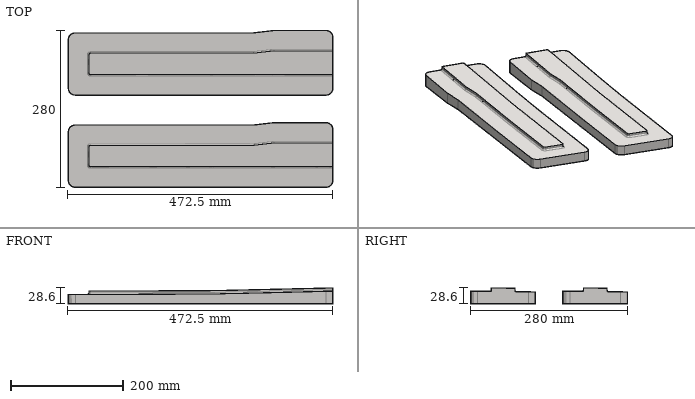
import cadquery as cq

LENGTH = 472.5
OVERALL_WIDTH = 280.0
PITCH = 164.5
PLATE_COUNT = 2
PLATE_WIDTH = OVERALL_WIDTH - (PLATE_COUNT - 1) * PITCH
FLARE = 4.3
FLARE_START = 331.0
FLARE_END = 367.0
CORNER_RADIUS = 12.8

BEND_X = 261.5
START_THICKNESS = 17.0
NEAR_BEND_THICKNESS = 18.0
NEAR_END_THICKNESS = 23.0
FAR_BEND_THICKNESS = 17.5
FAR_END_THICKNESS = 21.7
START_SLOPE = 0.004
END_SLOPE = 0.025

PAD_HEIGHT = 6.0
PAD_START = 37.0
PAD_NEAR_EDGE = 37.0
PAD_FAR_EDGE = 75.0
PAD_CORNER_RADIUS = 3.5
PAD_BASE_FILLET = 2.6


def flared_prism(start_x, near_y, far_y, corner_radius, corners):
    """Tall upright prism whose far edge steps outwards by the flare."""
    outline = [
        (start_x, near_y),
        (LENGTH, near_y),
        (LENGTH, far_y + FLARE),
        (FLARE_END, far_y + FLARE),
        (FLARE_START, far_y),
        (start_x, far_y),
    ]
    tall = 2 * NEAR_END_THICKNESS
    return cq.Workplane("XY").polyline(outline).close().extrude(tall).edges(corners).fillet(corner_radius)


def side_profile(y, bend_thickness, end_thickness, lift):
    """Closed side section at one Y, topped by a smooth rising curve."""
    top = [(0, START_THICKNESS + lift), (BEND_X, bend_thickness + lift), (LENGTH, end_thickness + lift)]
    return (
        cq.Workplane("XZ", origin=(0, y, 0))
        .lineTo(*top[0])
        .spline(top[1:], tangents=[(1, START_SLOPE), (1, END_SLOPE)], includeCurrent=True)
        .lineTo(LENGTH, 0)
        .close()
        .val()
    )


def rising_block(lift):
    """Block under the rising, slightly twisted top surface raised by lift."""
    near = side_profile(0, NEAR_BEND_THICKNESS, NEAR_END_THICKNESS, lift)
    far = side_profile(PLATE_WIDTH, FAR_BEND_THICKNESS, FAR_END_THICKNESS, lift)
    return cq.Workplane(cq.Solid.makeLoft([near, far], True))


def pad_base():
    """Box around the middles of the edges where the pad walls meet the plate's top surface."""
    margin = PAD_BASE_FILLET / 2
    return cq.selectors.BoxSelector(
        (PAD_START - margin, PAD_NEAR_EDGE - margin, START_THICKNESS - margin),
        (LENGTH - margin, PAD_FAR_EDGE + FLARE + margin, START_THICKNESS + PAD_HEIGHT - margin),
    )


def make_plate():
    """Flared plate with its raised pad blended in at the base."""
    plate_corners = "(|Z and <X) or (|Z and >X)"
    plate_outline = flared_prism(0, 0, PLATE_WIDTH - FLARE, CORNER_RADIUS, plate_corners)
    pad_outline = flared_prism(PAD_START, PAD_NEAR_EDGE, PAD_FAR_EDGE, PAD_CORNER_RADIUS, "|Z and <X")
    plate = plate_outline.intersect(rising_block(0))
    pad = pad_outline.intersect(rising_block(PAD_HEIGHT))
    return plate.union(pad).edges("not |Z").edges(pad_base()).fillet(PAD_BASE_FILLET)


plate = make_plate()
plates = [plate.translate((0, i * PITCH, 0)) for i in range(PLATE_COUNT)]
result = cq.Compound.makeCompound([p.val() for p in plates])